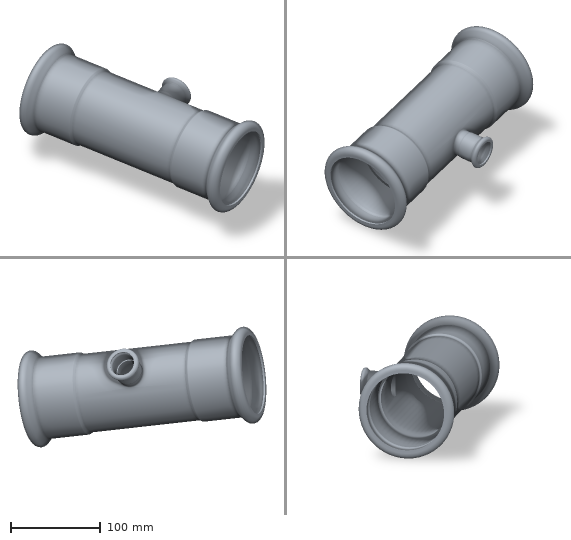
import cadquery as cq
import math

run_length = 262.0
tube_radius = 88.8 / 2
tube_bore_radius = 41.1
run_socket = dict(
    outer_radius=93.0 / 2,
    wall=1.96,
    bead_radius=6.5,
    bead_crown_radius=54.8,
    flare_end=17.5,
    step_start=63.5,
    step_end=67.0,
    edge_fillet=1.8,
)

branch_reach = 76.0
neck_radius = 29.9 / 2
neck_bore_radius = 12.8
branch_socket = dict(
    outer_radius=31.0 / 2,
    wall=1.5,
    bead_radius=3.0,
    bead_crown_radius=18.9,
    flare_end=7.9,
    step_start=24.4,
    step_end=26.2,
    edge_fillet=0.8,
)
branch_root_fillet = 1.3


def bead_path(bead_radius, bead_center, flare_end, end_radius):
    """Crown and flare tangent point, each (depth, radius), and the flare's slope angle."""
    center_depth, center_radius = bead_center
    run = flare_end - center_depth
    drop = center_radius - end_radius
    angle = math.acos(bead_radius / math.hypot(run, drop)) - math.atan2(drop, run)
    crown = (center_depth, center_radius + bead_radius)
    tangent = (
        center_depth + bead_radius * math.cos(angle),
        center_radius + bead_radius * math.sin(angle),
    )
    return crown, tangent, math.pi / 2 - angle


def bends_between(start, end):
    """Select the circular edges centred between two depths on the X axis."""
    return cq.selectors.BoxSelector((start, -2.5, -2.5), (end, 2.5, 2.5))


def revolve_about_x(outline):
    return outline.close().revolve(360, (0, 0, 0), (1, 0, 0))


def socket_outside(socket, pipe_radius, length):
    """Solid beaded socket and pipe along +X, with its open end at X = 0."""
    bead_radius = socket["bead_radius"]
    outer_radius = socket["outer_radius"]
    flare_end = socket["flare_end"]
    fillet = socket["edge_fillet"]
    bead_center = (bead_radius, socket["bead_crown_radius"] - bead_radius)
    crown, tangent, _ = bead_path(bead_radius, bead_center, flare_end, outer_radius)
    outside = revolve_about_x(
        cq.Workplane("XY")
        .lineTo(0, bead_center[1])
        .threePointArc(crown, tangent)
        .lineTo(flare_end, outer_radius)
        .lineTo(socket["step_start"], outer_radius)
        .lineTo(socket["step_end"], pipe_radius)
        .lineTo(length, pipe_radius)
        .lineTo(length, 0)
    )
    bends = bends_between(flare_end - fillet / 2, socket["step_end"] + fillet / 2)
    return outside.edges("%CIRCLE").edges(bends).fillet(fillet)


def socket_inside(socket, pipe_bore_radius, length):
    """Bore of a socket: lip, seal groove inside the bead, flat pipe stop, pipe bore."""
    bead_radius = socket["bead_radius"]
    wall = socket["wall"]
    outer_radius = socket["outer_radius"]
    bore_radius = outer_radius - wall
    bead_center = (bead_radius, socket["bead_crown_radius"] - bead_radius)
    _, _, slope = bead_path(bead_radius, bead_center, socket["flare_end"], outer_radius)
    inner_flare_end = socket["flare_end"] - wall * math.tan(slope / 2)
    crown, tangent, _ = bead_path(bead_radius - wall, bead_center, inner_flare_end, bore_radius)
    inside = revolve_about_x(
        cq.Workplane("XY")
        .lineTo(0, bore_radius)
        .lineTo(wall, bore_radius)
        .lineTo(wall, bead_center[1])
        .threePointArc(crown, tangent)
        .lineTo(inner_flare_end, bore_radius)
        .lineTo(socket["step_start"], bore_radius)
        .lineTo(socket["step_start"], pipe_bore_radius)
        .lineTo(length, pipe_bore_radius)
        .lineTo(length, 0)
    )
    flare_fillet = socket["edge_fillet"] + wall
    bend = bends_between(inner_flare_end - wall / 4, inner_flare_end + wall / 4)
    return inside.edges("%CIRCLE").edges(bend).fillet(flare_fillet)


def place_on_run(half):
    """Move a half run to the -X end and mirror it to the +X end."""
    left = half.translate((-run_length / 2, 0, 0))
    return left.union(left.mirror("YZ"))


def place_on_branch(body):
    """Turn a socket so that it opens toward +Y at the branch end."""
    return body.rotate((0, 0, 0), (0, 0, 1), -90).translate((0, branch_reach, 0))


run_body = place_on_run(socket_outside(run_socket, tube_radius, run_length / 2))
run_bore = place_on_run(socket_inside(run_socket, tube_bore_radius, run_length / 2))
branch_body = place_on_branch(socket_outside(branch_socket, neck_radius, branch_reach))
branch_bore = place_on_branch(socket_inside(branch_socket, neck_bore_radius, branch_reach))

saddle_depth = tube_radius - math.sqrt(tube_radius**2 - neck_radius**2)
saddle = cq.selectors.BoxSelector(
    (-neck_radius, tube_radius - saddle_depth, -neck_radius),
    (neck_radius, tube_radius, neck_radius),
)
body = run_body.union(branch_body)
body = body.edges(saddle).edges("not(%LINE or %CIRCLE)").fillet(branch_root_fillet)

result = body.cut(run_bore).cut(branch_bore)